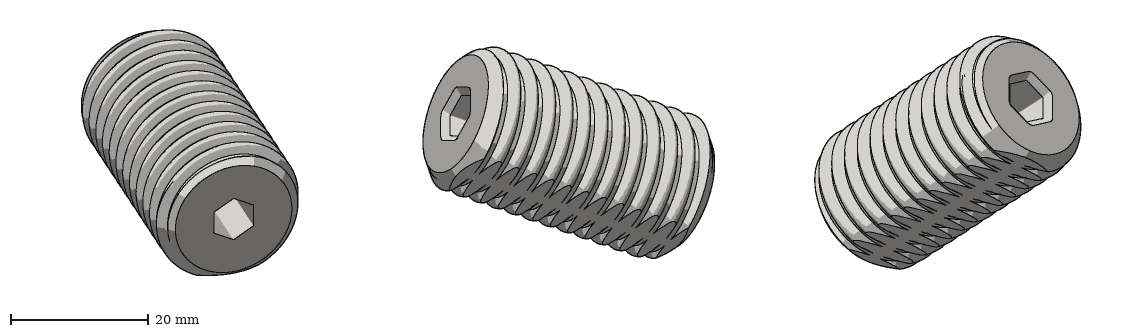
import cadquery as cq
import math

length = 39.0
crest_radius = 11.18
flat_height = 9.82
root_radius = 9.87
end_face_radius = 9.0

pitch = 3.0
root_flat = pitch / 4
half_base = (pitch - root_flat) / 2
flank_half_angle = math.radians(30)
crest_position = 2.39
root_overlap = 0.3

hex_across_flats = 6.14
hex_corner_radius = 0.1
hex_chamfer = 1.0

clearance = 1.0


def ridge_profile(start):
    """Cross-section of the ridge in the XY plane, centred on x = start."""
    tip_radius = root_radius + half_base / math.tan(flank_half_angle)
    arc_radius = (tip_radius - crest_radius) / (1 / math.sin(flank_half_angle) - 1)
    arc_half_width = arc_radius * math.cos(flank_half_angle)
    arc_end = crest_radius - arc_radius * (1 - math.sin(flank_half_angle))
    sunk_radius = root_radius - root_overlap
    sunk_half_base = half_base + root_overlap * math.tan(flank_half_angle)
    return (
        cq.Workplane("XY")
        .moveTo(start - sunk_half_base, sunk_radius)
        .lineTo(start - arc_half_width, arc_end)
        .threePointArc((start, crest_radius), (start + arc_half_width, arc_end))
        .lineTo(start + sunk_half_base, sunk_radius)
        .close()
    )


def thread_ridge():
    """Helical ridge that runs past both ends of the body."""
    start = crest_position - pitch
    turns = math.ceil((length + half_base - start) / pitch)
    helix = cq.Wire.makeHelix(pitch, turns * pitch, root_radius)
    helix = helix.rotate(cq.Vector(0, 0, 0), cq.Vector(1, 1, 1), 120)
    helix = helix.translate(cq.Vector(start, 0, 0))
    return ridge_profile(start).sweep(cq.Workplane(obj=helix), isFrenet=True)


def overlong_screw():
    """Core and ridge joined, both running past the ends of the body."""
    overrun = 2 * pitch
    core = cq.Workplane("YZ", origin=(-overrun, 0, 0)).circle(root_radius).extrude(length + 2 * overrun)
    return core.union(thread_ridge(), clean=False)


def coned_bar():
    """Bar wider than the crests, with 45 degree cones rising from both end faces."""
    bar_radius = crest_radius + clearance
    bar = cq.Workplane("YZ").circle(bar_radius).extrude(length)
    return bar.faces("<X or >X").chamfer(bar_radius - end_face_radius)


def below_flat():
    """Block filling everything under the flat, along the whole length."""
    side = 2 * (crest_radius + clearance)
    block = cq.Workplane("XY", origin=(length / 2, 0, -flat_height - side / 2))
    return block.box(length + 2 * clearance, side, side)


def key_hole():
    """Hexagon along the whole length with two corners up and down, the corners slightly rounded."""
    across_corners = hex_across_flats / math.cos(math.pi / 6)
    hexagon = cq.Workplane("YZ").polygon(6, across_corners).extrude(length)
    return hexagon.edges("|X").fillet(hex_corner_radius).rotate((0, 0, 0), (1, 0, 0), 90)


def body_envelope():
    """Coned bar with the key hole and the chamfer around the front mouth of the hole."""
    envelope = coned_bar().cut(key_hole())
    mouth = envelope.faces("<X").wires(cq.selectors.LengthNthSelector(0))
    return mouth.chamfer(hex_chamfer)


screw = overlong_screw().intersect(body_envelope(), clean=False)
screw = screw.cut(below_flat(), clean=False)
result = cq.Workplane(obj=screw.solids().val())